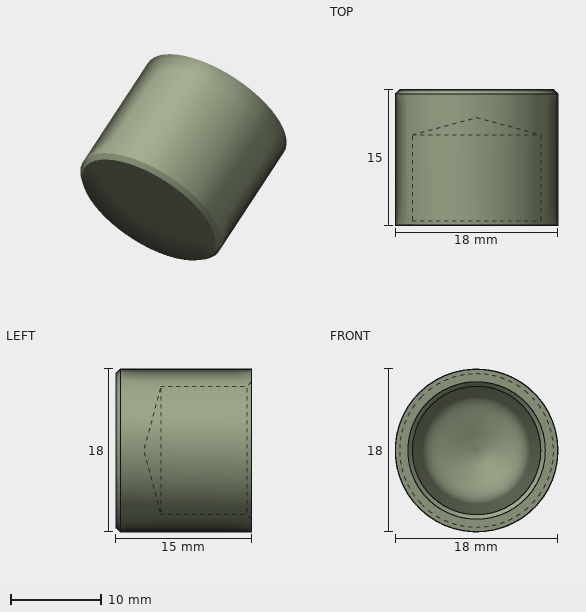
import math
import cadquery as cq

outer_diameter = 18.0
length = 15.0
end_chamfer = 0.5

bore_diameter = 14.2
bore_depth = 10.0
mouth_chamfer = 0.5
floor_cone_angle = 150.0

outer_radius = outer_diameter / 2
bore_radius = bore_diameter / 2
tip_depth = bore_radius / math.tan(math.radians(floor_cone_angle / 2))


def revolve_about_y(outline):
    """Revolve a closed (radius, Y) outline a full turn about the Y axis."""
    return cq.Workplane("XY").polyline(outline).close().revolve(360, (0, 0), (0, 1))


def make_body():
    """Cylinder with a chamfered closed end."""
    return revolve_about_y([
        (0, 0),
        (outer_radius, 0),
        (outer_radius, length - end_chamfer),
        (outer_radius - end_chamfer, length),
        (0, length),
    ])


def make_bore():
    """Blind bore with a chamfered mouth and a shallow conical floor."""
    return revolve_about_y([
        (0, 0),
        (bore_radius + mouth_chamfer, 0),
        (bore_radius, mouth_chamfer),
        (bore_radius, bore_depth),
        (0, bore_depth + tip_depth),
    ])


result = make_body().cut(make_bore())